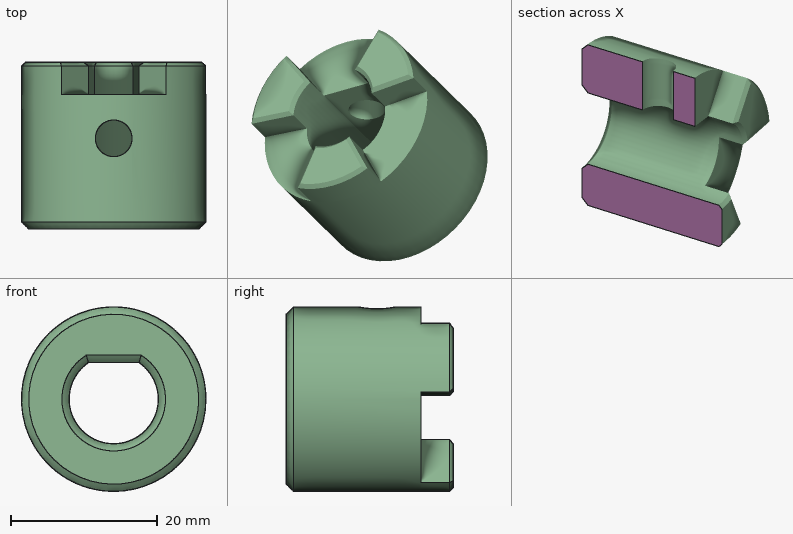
import cadquery as cq
import math

outer_radius = 12.6
overall_length = 22.8
jaw_length = 4.4
hub_length = overall_length - jaw_length

bore_radius = 6.075
flat_height = 5.0
end_chamfer = 1.0
jaw_chamfer = 0.5

jaw_count = 3
jaw_angle = 50.8
first_jaw_direction = -90.0

set_screw_diameter = 5.0
set_screw_setback = 6.0
set_screw_y = hub_length - set_screw_setback


def polar(radius, degrees):
    angle = math.radians(degrees)
    return radius * math.cos(angle), radius * math.sin(angle)


def section_plane(y):
    """Plane across the axis, with X to the right, Z up and its normal along -Y."""
    return cq.Workplane("XZ", origin=(0, y, 0))


def d_profile(y, radius, height):
    """Circle of the given radius cut off by a horizontal flat above the axis."""
    half_flat = math.sqrt(radius**2 - height**2)
    return (
        section_plane(y)
        .moveTo(-half_flat, height)
        .threePointArc((0, -radius), (half_flat, height))
        .close()
    )


def make_hub():
    hub = section_plane(0).circle(outer_radius).extrude(-hub_length)
    return hub.faces("<Y").edges().chamfer(end_chamfer)


def make_jaw(direction):
    """Radial-sided jaw between the bore and the rim, with a chamfered tip."""
    start = direction - jaw_angle / 2
    end = direction + jaw_angle / 2
    jaw = (
        section_plane(hub_length)
        .moveTo(*polar(bore_radius, start))
        .lineTo(*polar(outer_radius, start))
        .threePointArc(polar(outer_radius, direction), polar(outer_radius, end))
        .lineTo(*polar(bore_radius, end))
        .threePointArc(polar(bore_radius, direction), polar(bore_radius, start))
        .close()
        .extrude(-jaw_length)
    )
    return jaw.faces(">Y").edges().chamfer(jaw_chamfer)


def make_bore():
    """D-shaped bore through the hub, flared at the plain end."""
    bore = d_profile(0, bore_radius, flat_height).extrude(-hub_length)
    mouth_radius = bore_radius + end_chamfer
    cone = cq.Workplane("XZ").add(
        cq.Solid.makeCone(mouth_radius, bore_radius, end_chamfer, cq.Vector(0, 0, 0), cq.Vector(0, 1, 0))
    )
    below_flat = (
        cq.Workplane("YZ", origin=(-outer_radius, 0, 0))
        .moveTo(0, -outer_radius)
        .lineTo(end_chamfer, -outer_radius)
        .lineTo(end_chamfer, flat_height)
        .lineTo(0, flat_height + end_chamfer)
        .close()
        .extrude(2 * outer_radius)
    )
    return bore.union(cone.intersect(below_flat))


def make_set_screw_hole():
    """Radial hole from the top of the hub into the bore."""
    return (
        cq.Workplane("XY", origin=(0, set_screw_y, 0))
        .circle(set_screw_diameter / 2)
        .extrude(outer_radius)
    )


result = make_hub().cut(make_bore()).cut(make_set_screw_hole())
for index in range(jaw_count):
    jaw_direction = first_jaw_direction + index * 360.0 / jaw_count
    result = result.union(make_jaw(jaw_direction), clean=True)